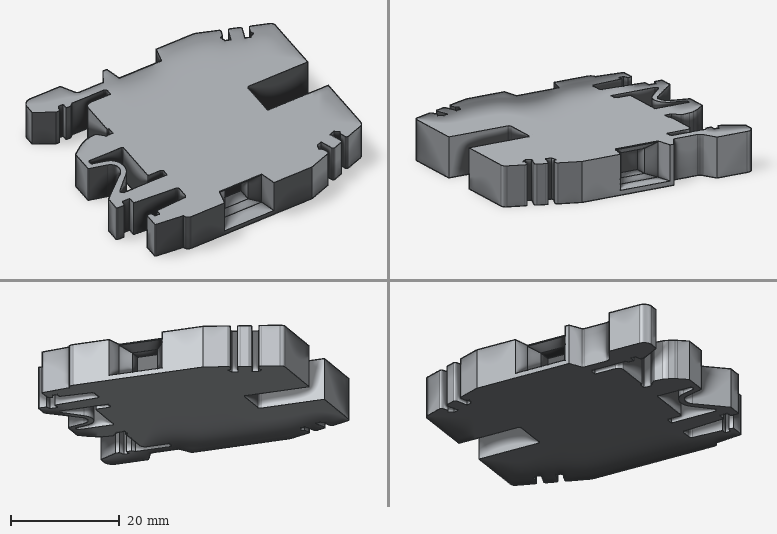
import cadquery as cq
import math

thickness = 8.0
height = 50.5
half_width = 21.0
underside_y = 9.5
underside_radius = 1.1

shoulder_y = 36.55
shoulder_angle = math.radians(20)
shoulder_radius = 1.0
tongue_centre = 7.2
tongue_half = 1.3
notch_outer = 2.65
notch_depth = 2.95
notch_radius = 0.45
barb_outer = 3.1
barb_start = 1.55
barb_peak = 2.0
barb_end_offset = 2.4

top_slot_width = 7.3
top_slot_depth = 13.05
top_slot_radius = 0.4

leg_left = -21.5
leg_right = -15.95
neck_left = -18.4
neck_right = -16.5
neck_angle = math.radians(29)
body_left_end_y = 16.9
leg_shoulder_y = 8.1
neck_radius = 0.4
leg_shoulder_radius = 1.0
leg_radius = 1.6
leg_tip_right = -18.2
leg_tip_rise = 3.85
leg_catch_x = -17.05
leg_catch_low_y = 5.0
leg_catch_lip_y = 4.6
leg_catch_high_y = 6.0
leg_head_y = 7.0
leg_head_top_y = 7.6
neck_gap_right = -14.95
neck_gap_top = 14.9
gap_radius = 0.5

hook_left = -7.1
hook_neck = -5.7
hook_step_y = 9.85
hook_neck_y = 8.4
hook_nose_y = 7.0
hook_nose_radius = 0.4
hook_belly = (-6.8, 4.7)
hook_heel = (-5.85, 2.95)
hook_belly_radius = 3.05
hook_bottom_left = -4.35
hook_bottom_y = 1.0

arch_x = 2.95
arch_y = 4.15
arch_inner_radius = 1.85
arch_outer_radius = 2.95
arch_left_angle = math.radians(75)
arch_inner_right_angle = math.radians(48.4)
arch_outer_right_angle = math.radians(45)

window_left = -1.55
window_floor_y = 2.15
window_step_x = 7.4
window_right = 9.05
right_gap_top = 12.6
small_radius = 0.25

foot_right = 12.0
foot_lip_y = 1.6
foot_catch_x = 10.95
foot_catch_low_y = 1.9
foot_catch_high_y = 3.45
foot_side_x = 12.35

right_gap_left = 13.05
right_gap_right = 15.95
right_leg_inner_x = 16.35
right_catch_x = 17.35
right_catch_high_y = 6.0
right_catch_low_y = 5.05
right_leg_lip_y = 4.65
right_leg_tip_left = 16.55
right_leg_tip_y = 3.8
right_leg_tip_right = 19.45
right_leg_root_x = 20.05

recess_y = 23.1
trough_mouth = 10.6
trough_back = 9.1
trough_depth = 3.15
trough_floor_z = 0.95
funnel_top_z = 7.8
funnel_depth = 1.4
hole_width = 5.0
hole_bottom_z = 1.6
hole_top_z = 6.45
hole_depth = 2.6


def rounded_prism(corners, bottom_z=0.0):
    """Prism up to the top face from (x, y) or (x, y, radius) corners; radius rounds the corner."""
    path = None
    count = len(corners)
    for i, corner in enumerate(corners):
        point = cq.Vector(corner[0], corner[1])
        radius = corner[2] if len(corner) > 2 else 0
        before = (cq.Vector(*corners[i - 1][:2]) - point).normalized()
        after = (cq.Vector(*corners[(i + 1) % count][:2]) - point).normalized()
        half_angle = before.getAngle(after) / 2
        setback = radius / math.tan(half_angle)
        start = point + before * setback
        path = path.lineTo(start.x, start.y) if path else cq.Workplane().moveTo(start.x, start.y)
        if radius:
            end = point + after * setback
            bisector = (before + after).normalized()
            middle = point + bisector * (radius / math.sin(half_angle) - radius)
            path = path.threePointArc((middle.x, middle.y), (end.x, end.y))
    return path.close().extrude(thickness - bottom_z).translate((0, 0, bottom_z))


def shoulder():
    """Left shoulder, from the top corner down to the side of the body."""
    sine, cosine = math.sin(shoulder_angle), math.cos(shoulder_angle)
    corner_x = -half_width + (height - shoulder_y) * math.tan(shoulder_angle)
    notch = [
        (notch_outer, 0, notch_radius),
        (notch_outer, barb_start, 0),
        (barb_outer, barb_peak, 0),
        (barb_end_offset, notch_depth, 0),
        (tongue_half, notch_depth, 0),
        (tongue_half, 0, notch_radius),
    ]
    upper = [(tongue_centre - offset, depth, radius) for offset, depth, radius in notch]
    lower = [(tongue_centre + offset, depth, radius) for offset, depth, radius in reversed(notch)]
    points = [(corner_x, height, shoulder_radius)]
    for along, depth, radius in upper + lower:
        x = corner_x - along * sine + depth * cosine
        y = height - along * cosine - depth * sine
        points.append((x, y, radius))
    points.append((-half_width, shoulder_y))
    return points


def left_leg():
    """Leg and neck, from the side of the body round to its underside."""
    neck_slope = math.tan(neck_angle)
    return [
        (-half_width, body_left_end_y),
        (neck_left, body_left_end_y - (neck_left + half_width) * neck_slope, neck_radius),
        (neck_left, leg_shoulder_y + (neck_left - leg_left) * neck_slope, leg_shoulder_radius),
        (leg_left, leg_shoulder_y),
        (leg_left, 0, leg_radius),
        (leg_tip_right, 0),
        (leg_right, leg_tip_rise),
        (leg_right, leg_catch_lip_y),
        (leg_catch_x, leg_catch_low_y),
        (leg_catch_x, leg_catch_high_y),
        (leg_right, leg_catch_high_y),
        (leg_right, leg_head_y),
        (neck_right, leg_head_top_y),
        (neck_right, neck_gap_top, gap_radius),
        (neck_gap_right, neck_gap_top),
        (neck_gap_right, underside_y, underside_radius),
    ]


def hook():
    """Hook, from the underside of the body round to its flat bottom."""
    return [
        (hook_left, underside_y),
        (hook_left, hook_step_y),
        (hook_neck, hook_step_y),
        (hook_neck, hook_neck_y),
        (hook_left, hook_nose_y, hook_nose_radius),
        (*hook_belly, hook_belly_radius),
        (*hook_heel, hook_belly_radius),
        (hook_bottom_left, hook_bottom_y),
    ]


def arch_corners(radius, right_angle, left_y, right_y):
    """Left end, rounded apex and right end of an arch whose flanks are tangent to its arc."""
    def left_x(y):
        return arch_x - (radius - (y - arch_y) * math.cos(arch_left_angle)) / math.sin(arch_left_angle)

    def right_x(y):
        return arch_x + (radius - (y - arch_y) * math.cos(right_angle)) / math.sin(right_angle)

    spread = radius / math.sin(arch_left_angle) + radius / math.sin(right_angle)
    apex_y = arch_y + spread / (1 / math.tan(arch_left_angle) + 1 / math.tan(right_angle))
    return [
        (left_x(left_y), left_y, small_radius),
        (left_x(apex_y), apex_y, radius),
        (right_x(right_y), right_y),
    ]


def spring_foot():
    """Foot at the right end of the spring arm, up to the gap beside the right leg."""
    return [
        (foot_right, 0, small_radius),
        (foot_right, foot_lip_y),
        (foot_catch_x, foot_catch_low_y),
        (foot_catch_x, foot_catch_high_y),
        (foot_side_x, foot_catch_high_y),
        (right_gap_left, right_gap_top, gap_radius),
    ]


def right_leg():
    """Right leg, from the top of the gap round to the side of the body."""
    return [
        (right_gap_right, right_gap_top, gap_radius),
        (right_leg_inner_x, right_catch_high_y),
        (right_catch_x, right_catch_high_y),
        (right_catch_x, right_catch_low_y),
        (right_leg_inner_x, right_leg_lip_y),
        (right_leg_tip_left, right_leg_tip_y),
        (right_leg_tip_right, right_leg_tip_y, small_radius),
        (right_leg_root_x, underside_y),
        (half_width, underside_y, underside_radius),
    ]


def window():
    floor_corner, apex, flank_end = arch_corners(
        arch_outer_radius, arch_outer_right_angle, window_floor_y, window_floor_y
    )
    corner_y = flank_end[1] + (flank_end[0] - window_right) * math.tan(arch_outer_right_angle)
    return rounded_prism([
        (window_left, underside_y, small_radius),
        (window_left, window_floor_y, small_radius),
        floor_corner,
        apex,
        (window_right, corner_y, gap_radius),
        (window_right, right_gap_top),
        (window_step_x, right_gap_top, gap_radius),
        (window_step_x, underside_y, small_radius),
    ])


def top_slot():
    left, right = -top_slot_width / 2, top_slot_width / 2
    floor_y = height - top_slot_depth
    return rounded_prism([
        (left, height),
        (left, floor_y, top_slot_radius),
        (right, floor_y, top_slot_radius),
        (right, height),
    ])


def side_recess():
    """Recess in the left side of the body."""
    back_x = -half_width + trough_depth
    trough = rounded_prism([
        (-half_width, recess_y - trough_mouth / 2),
        (back_x, recess_y - trough_back / 2),
        (back_x, recess_y + trough_back / 2),
        (-half_width, recess_y + trough_mouth / 2),
    ], trough_floor_z)
    funnel_z = (trough_floor_z + funnel_top_z) / 2
    hole_z = (hole_bottom_z + hole_top_z) / 2
    hole_height = hole_top_z - hole_bottom_z
    funnel = (
        cq.Workplane("YZ", origin=(back_x, 0, 0))
        .center(recess_y, funnel_z)
        .rect(trough_back, funnel_top_z - trough_floor_z)
        .workplane(offset=funnel_depth)
        .center(0, hole_z - funnel_z)
        .rect(hole_width, hole_height)
        .loft()
    )
    hole = (
        cq.Workplane("YZ", origin=(back_x + funnel_depth, recess_y, hole_z))
        .rect(hole_width, hole_height)
        .extrude(hole_depth)
    )
    return trough.union(funnel).union(hole)


left_shoulder = shoulder()
right_shoulder = [(-point[0], *point[1:]) for point in reversed(left_shoulder)]
spring_arm = arch_corners(arch_inner_radius, arch_inner_right_angle, hook_bottom_y, 0)
outline = left_shoulder + left_leg() + hook() + spring_arm + spring_foot() + right_leg() + right_shoulder

result = rounded_prism(outline).cut(window()).cut(top_slot())
left_recess = side_recess()
for recess in (left_recess, left_recess.mirror("YZ")):
    result = result.cut(recess)